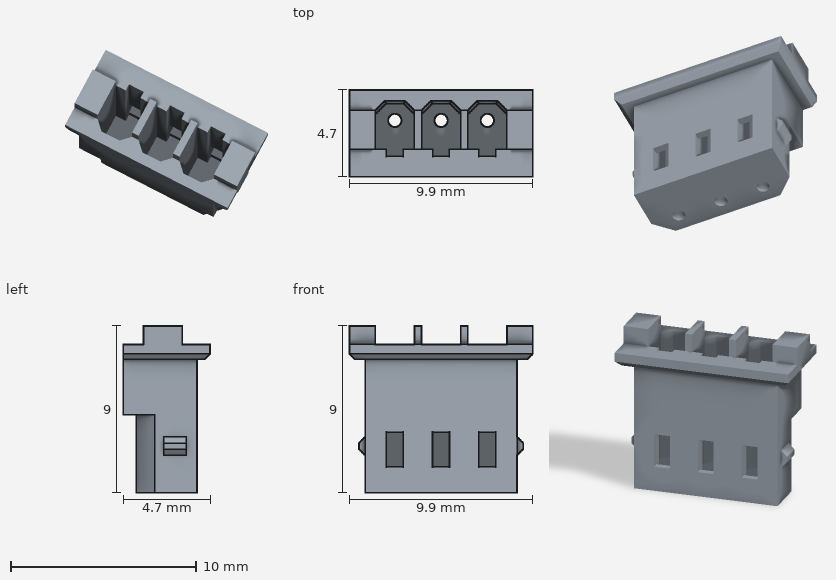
import cadquery as cq
import math


LENGTH = 9.9
DEPTH = 4.7
HEIGHT = 9.0

PITCH = 2.49
POSITIONS = (-PITCH, 0.0, PITCH)

WALL_HEIGHT = 1.0
FLANGE_TOP = HEIGHT - WALL_HEIGHT
FLANGE_THICKNESS = 0.8
FLANGE_CHAMFER = 0.3
FLANGE_BOTTOM = FLANGE_TOP - FLANGE_THICKNESS

BODY_LENGTH = 8.2
BODY_FRONT = 0.7
STEP_HEIGHT = 4.2
LOWER_BACK = 3.99
LOWER_CHAMFER = 1.0

WALL_BACK = 3.6

CAVITY_WIDTH = 2.1
CAVITY_FRONT = 1.49
UPPER_CAVITY_BACK = 4.11
CAVITY_CORNER = UPPER_CAVITY_BACK - WALL_BACK
LEDGE_WIDTH = 0.16
LEDGE_CLEARANCE = 0.4
LOWER_CAVITY_TOP = STEP_HEIGHT + LEDGE_CLEARANCE
FLOOR_THICKNESS = 0.8
HOLE_DIAMETER = 0.7
HOLE_Y = 3.05

KEYWAY_WIDTH = 0.9
KEYWAY_FRONT = 1.11
WINDOW_BOTTOM = 1.4
WINDOW_HEIGHT = 1.88

LATCH_REACH = 0.34
LATCH_FRONT = 1.3
LATCH_LENGTH = 1.21
LATCH_BOTTOM = 2.02
LATCH_HEIGHT = 1.0
LATCH_TIP_HEIGHT = 0.32


def box(x_min, x_max, y_min, y_max, z_min, z_max):
    """Box given by its limits along each axis."""
    size = (x_max - x_min, y_max - y_min, z_max - z_min)
    return cq.Workplane("XY").box(*size, centered=False).translate((x_min, y_min, z_min))


def centred_box(x, width, y_min, y_max, z_min, z_max):
    """Box of the given width centred on x."""
    return box(x - width / 2, x + width / 2, y_min, y_max, z_min, z_max)


def make_flange():
    """Plate chamfered below along the front and both ends; the back stays square."""
    plate = centred_box(0, LENGTH, 0, DEPTH, FLANGE_BOTTOM, FLANGE_TOP)
    front_and_ends = plate.faces("<Y or <X or >X").edges("<Z")
    return front_and_ends.chamfer(FLANGE_CHAMFER)


def make_body():
    """Full-depth upper block on a shallower lower block with chamfered back corners."""
    upper = centred_box(0, BODY_LENGTH, BODY_FRONT, DEPTH, STEP_HEIGHT, FLANGE_TOP)
    lower = centred_box(0, BODY_LENGTH, BODY_FRONT, LOWER_BACK, 0, STEP_HEIGHT)
    lower = lower.faces(">Y").edges("|Z").chamfer(LOWER_CHAMFER)
    return upper.union(lower)


def make_raised_walls():
    """Row of walls across the flange, later divided by the cavities."""
    return centred_box(0, LENGTH, CAVITY_FRONT, WALL_BACK, FLANGE_TOP, HEIGHT)


def make_latch(side):
    """Trapezoidal latch on one end of the body; side is -1 or 1."""
    root = side * BODY_LENGTH / 2
    tip = root + side * LATCH_REACH
    ramp = (LATCH_HEIGHT - LATCH_TIP_HEIGHT) / 2
    top = LATCH_BOTTOM + LATCH_HEIGHT
    profile = [(root, LATCH_BOTTOM), (tip, LATCH_BOTTOM + ramp), (tip, top - ramp), (root, top)]
    latch = cq.Workplane("XZ").polyline(profile).close().extrude(-LATCH_LENGTH)
    return latch.translate((0, LATCH_FRONT, 0))


def cavity_outline(inset):
    """Cavity outline with 45 degree back corners; the back and corners move in by inset."""
    back = UPPER_CAVITY_BACK - inset
    corner = CAVITY_CORNER + inset * (math.sqrt(2) - 1)
    half = CAVITY_WIDTH / 2
    return [
        (-half, CAVITY_FRONT),
        (half, CAVITY_FRONT),
        (half, back - corner),
        (half - corner, back),
        (corner - half, back),
        (-half, back - corner),
    ]


def make_cavity(x):
    """Contact cavity with a sloped ledge, keyway, window and pin hole."""
    upper_outline = cavity_outline(0)
    lower_outline = cavity_outline(LEDGE_WIDTH)
    ledge_top = LOWER_CAVITY_TOP + LEDGE_WIDTH

    lower = cq.Workplane("XY", origin=(0, 0, FLOOR_THICKNESS)).polyline(lower_outline).close()
    lower = lower.extrude(LOWER_CAVITY_TOP - FLOOR_THICKNESS)
    ledge = cq.Workplane("XY", origin=(0, 0, LOWER_CAVITY_TOP)).polyline(lower_outline).close()
    ledge = ledge.workplane(offset=LEDGE_WIDTH).polyline(upper_outline).close().loft(ruled=True)
    upper = cq.Workplane("XY", origin=(0, 0, ledge_top)).polyline(upper_outline).close()
    upper = upper.extrude(HEIGHT - ledge_top)

    keyway = centred_box(0, KEYWAY_WIDTH, KEYWAY_FRONT, CAVITY_FRONT, FLOOR_THICKNESS, HEIGHT)
    window_top = WINDOW_BOTTOM + WINDOW_HEIGHT
    window = centred_box(0, KEYWAY_WIDTH, BODY_FRONT, KEYWAY_FRONT, WINDOW_BOTTOM, window_top)
    hole = cq.Workplane("XY").center(0, HOLE_Y).circle(HOLE_DIAMETER / 2).extrude(FLOOR_THICKNESS)

    cavity = lower.union(ledge).union(upper).union(keyway).union(window).union(hole)
    return cavity.translate((x, 0, 0))


result = make_flange().union(make_body()).union(make_raised_walls())
for end in (-1, 1):
    result = result.union(make_latch(end))
for position in POSITIONS:
    result = result.cut(make_cavity(position))